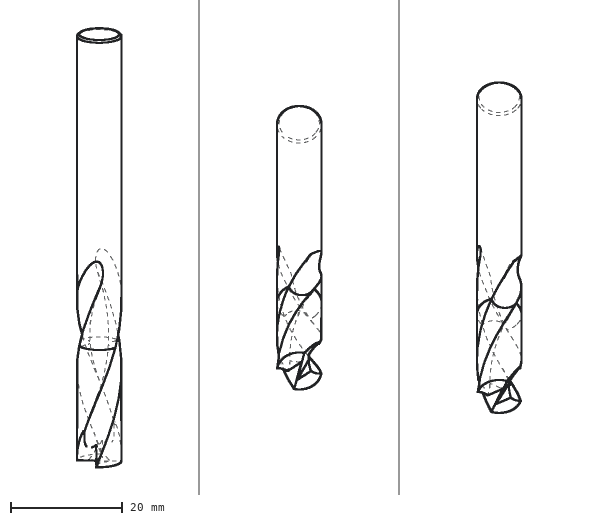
import cadquery as cq
import math

diameter = 8.0
radius = diameter / 2
total_length = 80.0
cutting_length = 22.0
shank_chamfer = 0.4

flute_count = 2
flute_pitch = 64.0
flute_radius = 2.4
core_radius = 1.7
flute_offset = core_radius + flute_radius
flute_start_angle = -79.0
flute_helix_end = 32.8
runout_end = 38.6

gash_height = 6.4
gash_reach = 6.4
gash_wall_x = 1.3
web_half_gap = 0.1
gash_slope = 1.2
gash_lean_x = -0.1
gash_lean_y = -0.84


def helix_angle_at(height):
    """Direction of the flute centre, in degrees from +X, at a given height."""
    return flute_start_angle + 360 * height / flute_pitch


def flute_centre(height, distance):
    angle = math.radians(helix_angle_at(height))
    return cq.Vector(distance * math.cos(angle), distance * math.sin(angle), height)


def flute_circle(height, distance):
    return cq.Wire.makeCircle(flute_radius, flute_centre(height, distance), cq.Vector(0, 0, 1))


def make_helical_flute():
    start = flute_centre(0, flute_offset)
    twist = helix_angle_at(flute_helix_end) - helix_angle_at(0)
    profile = cq.Workplane("XY").moveTo(start.x, start.y).circle(flute_radius)
    return profile.twistExtrude(flute_helix_end, twist)


def make_runout():
    """Straight run from the end of the helix until the flute leaves the surface."""
    last_section = flute_circle(flute_helix_end, flute_offset)
    exit_section = flute_circle(runout_end, radius + flute_radius)
    return cq.Workplane(cq.Solid.makeLoft([last_section, exit_section], True))


def gash_section(height):
    """Triangle of the wedge, shifted sideways as it rises."""
    corner_y = gash_slope * gash_wall_x - web_half_gap
    far_y = corner_y - gash_slope * gash_reach
    shift_x = gash_lean_x * height
    shift_y = gash_lean_y * height
    corners = [
        (gash_wall_x, corner_y),
        (gash_wall_x - gash_reach, far_y),
        (gash_wall_x, far_y),
    ]
    points = [cq.Vector(x + shift_x, y + shift_y, height) for x, y in corners]
    return cq.Wire.makePolygon(points, close=True)


def make_gash():
    sections = [gash_section(0), gash_section(gash_height)]
    return cq.Workplane(cq.Solid.makeLoft(sections, True))


def cut_around_axis(body, cutter):
    for index in range(flute_count):
        turn = index * 360 / flute_count
        body = body.cut(cutter.rotate((0, 0, 0), (0, 0, 1), turn))
    return body


def make_cutting_part():
    body = cq.Workplane("XY").circle(radius).extrude(cutting_length)
    body = cut_around_axis(body, make_helical_flute())
    return cut_around_axis(body, make_gash())


def make_shank():
    body = cq.Workplane("XY").workplane(offset=cutting_length)
    body = body.circle(radius).extrude(total_length - cutting_length)
    body = body.faces(">Z").chamfer(shank_chamfer)
    body = cut_around_axis(body, make_helical_flute())
    return cut_around_axis(body, make_runout())


cutting_part = make_cutting_part()
shank = make_shank()

result = cq.Compound.makeCompound([*cutting_part.solids().vals(), *shank.solids().vals()])